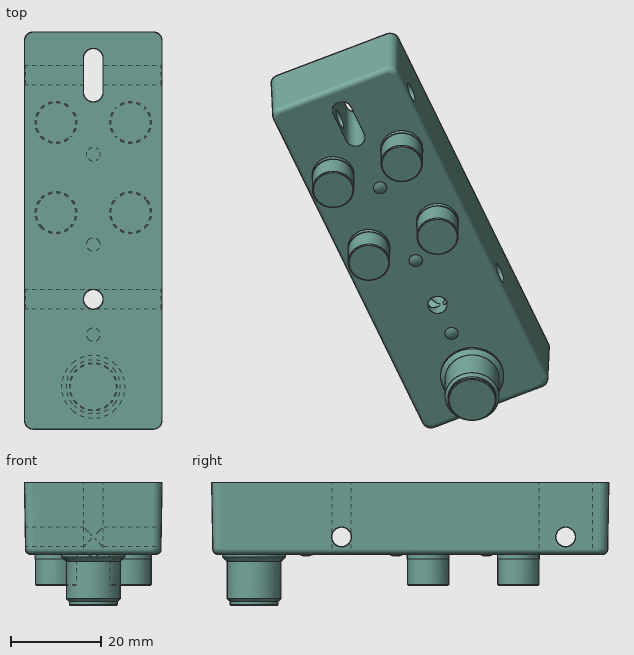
import cadquery as cq

WIDTH = 30.6
LENGTH = 88.2
HEIGHT = 16.0
DRAFT_ANGLE = 1
CORNER_RADIUS = 2.0
BOTTOM_FILLET = 1.15

BORE_DIAMETER = 4.3
SLOT_LENGTH = 11.8
HOLE_PITCH = 49.7
SLOT_Y = 34.5
HOLE_Y = SLOT_Y - HOLE_PITCH
CROSS_HOLE_DEPTH = 12.1

SOCKET_DIAMETER = 9.2
SOCKET_END_DEPTH = 22.8
SOCKET_CHAMFER = 0.22
SOCKET_X = 8.3
FIRST_SOCKET_Y = 24.0
STATION_PITCH = 20.0
SOCKET_ROWS = 2

COLLAR_DIAMETER = 9.35
COLLAR_HEIGHT = 1.1

INDICATOR_COUNT = 3
INDICATOR_DIAMETER = 3.0
INDICATOR_HEIGHT = 0.4
FIRST_INDICATOR_Y = 16.9

PLUG_Y = -34.65
FLANGE_DIAMETER = 14.0
PLUG_DIAMETER = 12.0
TIP_DIAMETER = 10.7
FLANGE_DEPTH = 16.5
PLUG_END_DEPTH = 25.7
TIP_END_DEPTH = 27.3
TIP_CHAMFER = 0.22


def make_housing():
    """Drafted block, narrowing downwards, with rounded corners and bottom edge."""
    block = (
        cq.Workplane("XY")
        .rect(WIDTH, LENGTH)
        .extrude(-HEIGHT, taper=DRAFT_ANGLE)
        .edges("not(<Z or >Z)")
        .fillet(CORNER_RADIUS)
    )
    return block.faces("<Z").edges().fillet(BOTTOM_FILLET)


def make_mounting_holes():
    """Vertical slot and hole, plus a cross hole through the width below each."""
    slot = (
        cq.Workplane("XY")
        .center(0, SLOT_Y)
        .slot2D(SLOT_LENGTH, BORE_DIAMETER, 90)
        .extrude(-HEIGHT)
    )
    hole = cq.Workplane("XY").center(0, HOLE_Y).circle(BORE_DIAMETER / 2).extrude(-HEIGHT)
    cross_holes = (
        cq.Workplane("YZ")
        .pushPoints([(SLOT_Y, -CROSS_HOLE_DEPTH), (HOLE_Y, -CROSS_HOLE_DEPTH)])
        .circle(BORE_DIAMETER / 2)
        .extrude(WIDTH / 2, both=True)
    )
    return slot.union(hole).union(cross_holes)


def make_sockets():
    """Four chamfered cylinders with collars below the housing."""
    centres = [
        (x, FIRST_SOCKET_Y - row * STATION_PITCH)
        for x in (-SOCKET_X, SOCKET_X)
        for row in range(SOCKET_ROWS)
    ]
    underside = cq.Workplane("XY").workplane(offset=-HEIGHT).pushPoints(centres)
    bodies = (
        underside.circle(SOCKET_DIAMETER / 2)
        .extrude(HEIGHT - SOCKET_END_DEPTH)
        .faces("<Z")
        .edges()
        .chamfer(SOCKET_CHAMFER)
    )
    collars = underside.circle(COLLAR_DIAMETER / 2).extrude(-COLLAR_HEIGHT)
    return bodies.union(collars)


def make_indicators():
    """Shallow spherical caps in a row along the middle of the underside."""
    radius = INDICATOR_DIAMETER / 2
    sphere_radius = (radius**2 + INDICATOR_HEIGHT**2) / (2 * INDICATOR_HEIGHT)
    centres = [(0, FIRST_INDICATOR_Y - i * STATION_PITCH) for i in range(INDICATOR_COUNT)]
    return (
        cq.Workplane("XY")
        .workplane(offset=sphere_radius - HEIGHT - INDICATOR_HEIGHT)
        .pushPoints(centres)
        .sphere(sphere_radius)
    )


def make_plug():
    """Plug revolved about its vertical axis, with 45 degree cones between its steps."""
    flange_radius = FLANGE_DIAMETER / 2
    plug_radius = PLUG_DIAMETER / 2
    tip_radius = TIP_DIAMETER / 2
    return (
        cq.Workplane("XZ", origin=(0, PLUG_Y, 0))
        .moveTo(0, -HEIGHT)
        .lineTo(flange_radius, -HEIGHT)
        .lineTo(flange_radius, -FLANGE_DEPTH)
        .lineTo(plug_radius, -FLANGE_DEPTH - (flange_radius - plug_radius))
        .lineTo(plug_radius, -PLUG_END_DEPTH)
        .lineTo(tip_radius, -PLUG_END_DEPTH - (plug_radius - tip_radius))
        .lineTo(tip_radius, TIP_CHAMFER - TIP_END_DEPTH)
        .lineTo(tip_radius - TIP_CHAMFER, -TIP_END_DEPTH)
        .lineTo(0, -TIP_END_DEPTH)
        .close()
        .revolve(360, (0, 0, 0), (0, 1, 0))
    )


result = (
    make_housing()
    .union(make_sockets())
    .union(make_indicators())
    .union(make_plug())
    .cut(make_mounting_holes())
)